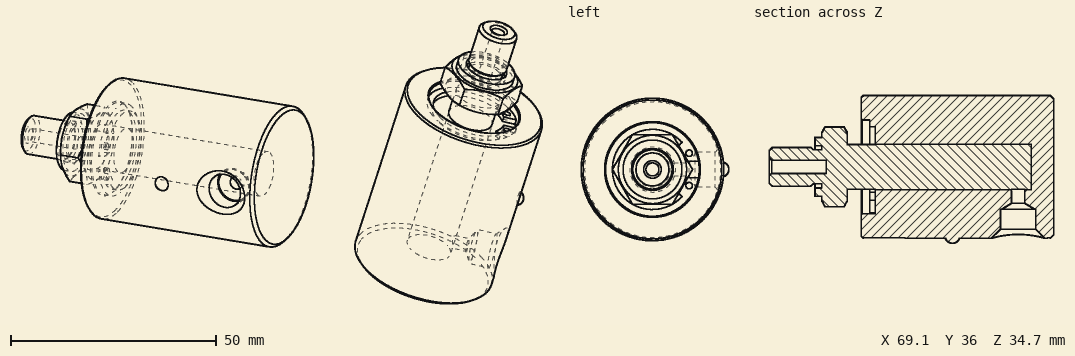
import cadquery as cq
import math

TOTAL_LENGTH = 69.1
HOUSING_START = 22.3
SHAFT_DIAMETER = 11.0
SHAFT_END = 63.55

HOUSING_DIAMETER = 34.7
FRONT_CHAMFER = 0.5
REAR_CHAMFER = 0.8

RECESS_MOUTH_DIAMETER = 23.3
RECESS_DIAMETER = 22.7
RECESS_MOUTH_CHAMFER = (RECESS_MOUTH_DIAMETER - RECESS_DIAMETER) / 2

RING_START = 24.4
RING_THICKNESS = 1.3
RING_INNER_DIAMETER = 19.5
LUG_INNER_DIAMETER = 16.6
LUG_HALF_ANGLE = 42.5
RING_GAP = 3.95
LUG_HOLE_DIAMETER = 1.6
LUG_HOLE_Y = -8.9
LUG_HOLE_Z = 3.95
RECESS_FLOOR = RING_START + RING_THICKNESS

PORT_X = 60.45
PORT_MOUTH_DIAMETER = 12.9
PORT_BORE_DIAMETER = 8.5
PORT_POINT_DIAMETER = 7.95
PORT_BORE_LENGTH = 4.85
PORT_DRILL_ANGLE = 118.0
PORT_PASSAGE_DIAMETER = 3.2

DOME_X = 44.5
DOME_DIAMETER = 3.65
DOME_HEIGHT = 1.25

SPIGOT_DIAMETER = 9.5
SPIGOT_CHAMFER = 0.75
RELIEF_START = 10.1
RELIEF_DIAMETER = 8.4
COLLAR_START = 11.05
COLLAR_DIAMETER = 14.3
COLLAR_UNDERCUT_DIAMETER = 10.15
HEX_START = 12.7
HEX_END = 19.0
HEX_SIDES = 6
HEX_ACROSS_FLATS = 16.85
HEX_FACE_DIAMETER = 16.6
HEX_CHAMFER_ANGLE = 30.0
BORE_DIAMETER = 3.2
BORE_CHAMFER = 0.55
BORE_DEPTH = 13.8


def cylinder_x(diameter, start, end):
    """Solid cylinder on the X axis between two X positions."""
    return cq.Workplane("YZ", origin=(start, 0, 0)).circle(diameter / 2).extrude(end - start)


def revolve_about_x(points):
    """Solid of revolution about X from (x, radius) points."""
    return cq.Workplane("XY").polyline(points).close().revolve(360, (0, 0, 0), (1, 0, 0))


def make_retaining_ring():
    """Open ring with two drilled lugs beside its gap, reaching the recess wall."""
    ring = (
        cylinder_x(RECESS_DIAMETER, RING_START, RECESS_FLOOR)
        .cut(cylinder_x(RING_INNER_DIAMETER, RING_START, RECESS_FLOOR))
    )
    reach = RECESS_DIAMETER
    half_width = reach * math.tan(math.radians(LUG_HALF_ANGLE))
    sector = (
        cq.Workplane("YZ", origin=(RING_START, 0, 0))
        .polyline([(0, 0), (-reach, half_width), (-reach, -half_width)])
        .close()
        .extrude(RING_THICKNESS)
    )
    lugs = (
        cylinder_x(RING_INNER_DIAMETER, RING_START, RECESS_FLOOR)
        .cut(cylinder_x(LUG_INNER_DIAMETER, RING_START, RECESS_FLOOR))
        .intersect(sector)
    )
    gap = (
        cq.Workplane("YZ", origin=(RING_START, 0, 0))
        .center(-reach / 2, 0)
        .rect(reach, RING_GAP)
        .extrude(RING_THICKNESS)
    )
    holes = (
        cq.Workplane("YZ", origin=(RING_START, 0, 0))
        .pushPoints([(LUG_HOLE_Y, LUG_HOLE_Z), (LUG_HOLE_Y, -LUG_HOLE_Z)])
        .circle(LUG_HOLE_DIAMETER / 2)
        .extrude(RING_THICKNESS)
    )
    return ring.union(lugs).cut(gap).cut(holes)


def make_port():
    """Cutter for the side port: 45 degree mouth, bore, narrower drill point and passage."""
    surface = -HOUSING_DIAMETER / 2
    mouth_radius = PORT_MOUTH_DIAMETER / 2
    bore_radius = PORT_BORE_DIAMETER / 2
    point_radius = PORT_POINT_DIAMETER / 2
    passage_radius = PORT_PASSAGE_DIAMETER / 2
    bore_start = surface + mouth_radius - bore_radius
    bore_end = bore_start + PORT_BORE_LENGTH
    point_length = (point_radius - passage_radius) / math.tan(math.radians(PORT_DRILL_ANGLE / 2))
    return (
        cq.Workplane("XY", origin=(PORT_X, 0, 0))
        .polyline([
            (0, surface),
            (mouth_radius, surface),
            (bore_radius, bore_start),
            (bore_radius, bore_end),
            (point_radius, bore_end),
            (passage_radius, bore_end + point_length),
            (passage_radius, 0),
            (0, 0),
        ])
        .close()
        .revolve(360, (0, 0, 0), (0, 1, 0))
    )


def make_dome():
    """Ball set into the housing so that its cap stands proud of the surface."""
    centre_y = -(HOUSING_DIAMETER / 2 + DOME_HEIGHT - DOME_DIAMETER / 2)
    return cq.Workplane("XY", origin=(DOME_X, centre_y, 0)).sphere(DOME_DIAMETER / 2)


def make_housing():
    """Cylindrical housing with its retaining ring, side port and dome."""
    body = cylinder_x(HOUSING_DIAMETER, HOUSING_START, TOTAL_LENGTH)
    body = body.faces("<X").chamfer(FRONT_CHAMFER)
    body = body.faces(">X").chamfer(REAR_CHAMFER)
    recess = revolve_about_x([
        (HOUSING_START, 0),
        (HOUSING_START, RECESS_MOUTH_DIAMETER / 2),
        (HOUSING_START + RECESS_MOUTH_CHAMFER, RECESS_DIAMETER / 2),
        (RECESS_FLOOR, RECESS_DIAMETER / 2),
        (RECESS_FLOOR, 0),
    ])
    shaft_hole = cylinder_x(SHAFT_DIAMETER, RECESS_FLOOR, SHAFT_END)
    return (
        body.cut(recess)
        .union(make_retaining_ring())
        .union(make_dome())
        .cut(make_port())
        .cut(shaft_hole)
    )


def make_hex():
    """Hexagon with corners on +Y and -Y, its corners turned off conically at both ends."""
    corner_radius = HEX_ACROSS_FLATS / 2 / math.cos(math.pi / HEX_SIDES)
    face_radius = HEX_FACE_DIAMETER / 2
    corner_drop = (corner_radius - face_radius) * math.tan(math.radians(HEX_CHAMFER_ANGLE))
    prism = (
        cq.Workplane("YZ", origin=(HEX_START, 0, 0))
        .polygon(HEX_SIDES, 2 * corner_radius)
        .extrude(HEX_END - HEX_START)
    )
    envelope = revolve_about_x([
        (HEX_START, 0),
        (HEX_START, face_radius),
        (HEX_START + corner_drop, corner_radius),
        (HEX_END - corner_drop, corner_radius),
        (HEX_END, face_radius),
        (HEX_END, 0),
    ])
    return prism.intersect(envelope)


def make_shaft():
    """Shaft with spigot, collar undercut back to the hexagon, plain journal and blind end bore."""
    spigot_radius = SPIGOT_DIAMETER / 2
    relief_radius = RELIEF_DIAMETER / 2
    relief_taper = spigot_radius - relief_radius
    turned = revolve_about_x([
        (0, 0),
        (0, spigot_radius - SPIGOT_CHAMFER),
        (SPIGOT_CHAMFER, spigot_radius),
        (RELIEF_START, spigot_radius),
        (RELIEF_START + relief_taper, relief_radius),
        (HEX_START, relief_radius),
        (HEX_START, COLLAR_UNDERCUT_DIAMETER / 2),
        (COLLAR_START, COLLAR_UNDERCUT_DIAMETER / 2),
        (COLLAR_START, COLLAR_DIAMETER / 2),
        (HEX_START, COLLAR_DIAMETER / 2),
        (HEX_START, SHAFT_DIAMETER / 2),
        (SHAFT_END, SHAFT_DIAMETER / 2),
        (SHAFT_END, 0),
    ])
    bore = revolve_about_x([
        (0, 0),
        (0, BORE_DIAMETER / 2 + BORE_CHAMFER),
        (BORE_CHAMFER, BORE_DIAMETER / 2),
        (BORE_DEPTH, BORE_DIAMETER / 2),
        (BORE_DEPTH, 0),
    ])
    return turned.union(make_hex()).cut(bore)


housing = make_housing()
shaft = make_shaft()

result = cq.Compound.makeCompound([housing.val(), shaft.val()])